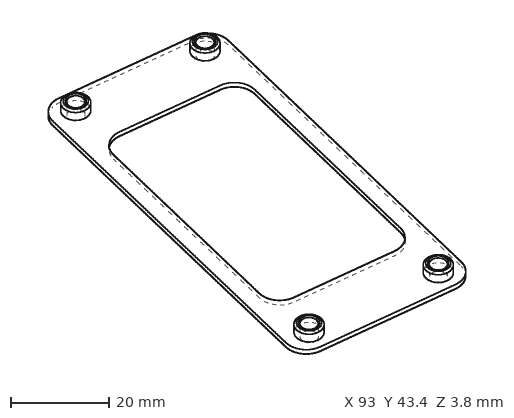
import cadquery as cq

plate_length = 93.0
plate_width = 43.4
plate_thickness = 1.2
corner_radius = 5.0

window_length = 61.9
window_width = 35.0
window_radius = 5.0

overall_height = 3.8
boss_diameter = 6.1
boss_rim_chamfer = 0.5
hole_diameter = 3.7
hole_mouth_chamfer = 0.3
boss_spacing_x = plate_length - 2 * corner_radius
boss_spacing_y = 32.0


def rounded_block(length, width, radius, height):
    """Block centred on the Z axis, standing on Z = 0, with rounded upright edges."""
    return cq.Workplane("XY").rect(length, width).extrude(height).edges("|Z").fillet(radius)


def corner_cylinders(diameter):
    """Four full-height cylinders standing on Z = 0 at the boss centres."""
    centres = cq.Workplane("XY").rect(boss_spacing_x, boss_spacing_y, forConstruction=True).vertices()
    return centres.circle(diameter / 2).extrude(overall_height)


plate = rounded_block(plate_length, plate_width, corner_radius, plate_thickness)
window = rounded_block(window_length, window_width, window_radius, plate_thickness)
frame = plate.cut(window)

bosses = corner_cylinders(boss_diameter).faces(">Z").edges().chamfer(boss_rim_chamfer)

bored_frame = frame.union(bosses).cut(corner_cylinders(hole_diameter))
hole_mouths = bored_frame.faces(">Z").edges(cq.selectors.RadiusNthSelector(0))
result = hole_mouths.chamfer(hole_mouth_chamfer)